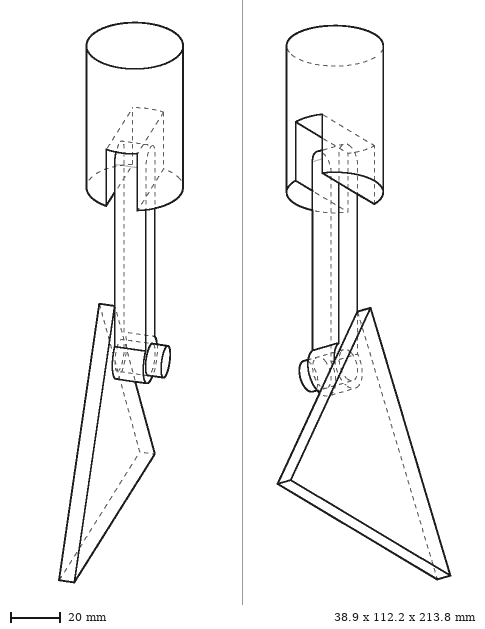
import cadquery as cq
import math

total_height = 213.8
grid = total_height / 33

head_radius = 3 * grid
head_height = 10 * grid
head_bottom = total_height - head_height
slot_height = 4 * grid

arm_width = 2 * grid
arm_top = head_bottom + 3 * grid
eye_radius = 1.5 * grid

plate_thickness = grid
plate_height = 15 * grid
plate_side = plate_height * 2 / math.sqrt(3)
plate_center_y = -grid
pin_radius = grid
pin_protrusion = grid
pin_z = plate_height - 4 * grid

arm_left = -arm_width / 2


def x_cylinder(radius, length, z):
    """Cylinder along X, starting at the arm's left face."""
    return cq.Workplane("YZ", origin=(arm_left, 0, z)).circle(radius).extrude(length)


def make_head():
    cylinder = cq.Workplane("XY", origin=(0, 0, head_bottom)).circle(head_radius).extrude(head_height)
    slot = cq.Workplane("XY", origin=(0, 0, head_bottom)).rect(arm_width, 2 * head_radius).extrude(slot_height)
    return cylinder.cut(slot)


def make_arm():
    half_width = arm_width / 2
    shoulder_z = arm_top - half_width
    bar = (
        cq.Workplane("YZ", origin=(arm_left, 0, 0))
        .moveTo(-half_width, pin_z)
        .lineTo(-half_width, shoulder_z)
        .threePointArc((0, arm_top), (half_width, shoulder_z))
        .lineTo(half_width, pin_z)
        .close()
        .extrude(arm_width)
    )
    eye = x_cylinder(eye_radius, arm_width, pin_z)
    pin_hole = x_cylinder(pin_radius, arm_width, pin_z)
    return bar.union(eye).cut(pin_hole)


def make_pointer():
    plate = (
        cq.Workplane("YZ", origin=(arm_left - plate_thickness, plate_center_y, 0))
        .moveTo(-plate_side / 2, 0)
        .lineTo(plate_side / 2, 0)
        .lineTo(0, plate_height)
        .close()
        .extrude(plate_thickness)
    )
    pin = x_cylinder(pin_radius, arm_width + pin_protrusion, pin_z)
    return plate.union(pin)


head = make_head()
arm = make_arm()
pointer = make_pointer()

result = cq.Compound.makeCompound([head.val(), arm.val(), pointer.val()])